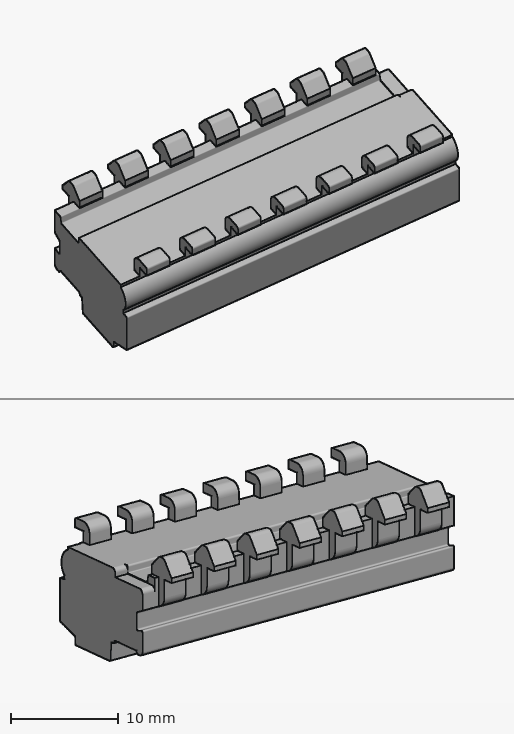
import cadquery as cq
import math

LENGTH = 36.5
REAR_END = LENGTH / 2
TOP = 9.4
LATCH_TOP = 11.5

FINGER_COUNT = 7
FINGER_PITCH = 5.0
FINGER_WIDTH = 2.52
FINGER_CENTER_Y = 0.1

LIP_WIDTH = 1.02
LIP_ROUND = 0.1
LIP_FOOT_X = 1.15
LEDGE_Z = 8.65
STEP_X = 4.15
STEP_ROUND = 0.2
LEDGE_FILLET = 0.1
NECK_X = 11.5
UNDERCUT_X = 0.88
UNDERCUT_START_Z = 6.5
UNDERCUT_TOP_Z = 6.1
UNDERCUT_BOTTOM_Z = 4.27
UNDERCUT_LIP_Z = 4.53
UNDERCUT_FILLET = 0.3
SIDE_X = 12.6
SIDE_BOTTOM_Z = 1.68
SIDE_ROUND = 0.15
FOOT_RIGHT_X = 10.25
FOOT_HEIGHT = 0.85
FOOT_LEFT_X = 4.9
FOOT_DRAFT = 0.15
RIB_Z = 1.95
CHANNEL_Z = 2.25
CHANNEL_LEFT_X = 1.0
CHANNEL_RIGHT_X = 4.25
CHANNEL_FLARE = 0.2
SMALL_ROUND = 0.15
RIB_ROUND = 0.45

BULGE_X = 10.65
BULGE_Z = 7.6
BULGE_RADIUS = 1.7
BULGE_BOTTOM_Z = 6.42
GROOVE_X = 11.95
GROOVE_Z = 6.02

RELIEF_LENGTH = 1.45
RELIEF_Z = 8.58
RELIEF_EDGE_ROUND = 0.47
RELIEF_STEP_ROUND = 0.45
RELIEF_NECK_X = 11.4

STEM_LEFT_X = -0.88
STEM_STRAIGHT_Z = 7.6
HEAD_LEFT_X = -1.97
HEAD_RIGHT_X = 1.02
HEAD_LEFT_Z = 9.9
HEAD_RIGHT_Z = 10.35
HEAD_ROUND = 0.47
HEAD_LEFT_SLOPE = 1.4

HOOK_THICKNESS = 1.0
HOOK_TIP_X = 12.75
HOOK_TIP_ROUND = 0.22


def rounded_outline(corners):
    """Closed XZ outline through (x, z, radius) corners; each radius is a tangent arc."""
    trims = []
    for i, (x, z, radius) in enumerate(corners):
        point = cq.Vector(x, z)
        back = (cq.Vector(*corners[i - 1][:2]) - point).normalized()
        ahead = (cq.Vector(*corners[(i + 1) % len(corners)][:2]) - point).normalized()
        half_angle = back.getAngle(ahead) / 2
        setback = radius / math.tan(half_angle)
        middle = point + (back + ahead).normalized() * (radius / math.sin(half_angle) - radius)
        trims.append((point + back * setback, middle, point + ahead * setback, radius))
    outline = cq.Workplane("XZ").moveTo(*trims[0][2].toTuple()[:2])
    for start, middle, end, radius in trims[1:] + trims[:1]:
        outline = outline.lineTo(*start.toTuple()[:2])
        if radius > 0:
            outline = outline.threePointArc(middle.toTuple()[:2], end.toTuple()[:2])
    return outline.close()


def extrude_along_y(outline, center_y, width):
    return outline.extrude(width / 2, both=True).translate((0, center_y, 0))


def make_housing():
    corners = [
        (0, TOP, 0),
        (LIP_WIDTH, TOP, LIP_ROUND),
        (LIP_FOOT_X, LEDGE_Z, LEDGE_FILLET),
        (STEP_X, LEDGE_Z, LEDGE_FILLET),
        (STEP_X, TOP, STEP_ROUND),
        (NECK_X, TOP, 0),
        (NECK_X, BULGE_BOTTOM_Z, 0),
        (GROOVE_X, BULGE_BOTTOM_Z, 0),
        (GROOVE_X, GROOVE_Z, 0),
        (SIDE_X, GROOVE_Z, SIDE_ROUND),
        (SIDE_X, SIDE_BOTTOM_Z, SIDE_ROUND),
        (FOOT_RIGHT_X, FOOT_HEIGHT, SMALL_ROUND),
        (FOOT_RIGHT_X, 0, SMALL_ROUND),
        (FOOT_LEFT_X, 0, SMALL_ROUND),
        (FOOT_LEFT_X - FOOT_DRAFT, RIB_Z, 0),
        (CHANNEL_RIGHT_X + CHANNEL_FLARE, RIB_Z, 0),
        (CHANNEL_RIGHT_X, CHANNEL_Z, 0),
        (CHANNEL_LEFT_X, CHANNEL_Z, 0),
        (CHANNEL_LEFT_X - CHANNEL_FLARE, RIB_Z, 0),
        (0, RIB_Z, RIB_ROUND),
        (0, UNDERCUT_LIP_Z, SMALL_ROUND),
        (UNDERCUT_X, UNDERCUT_BOTTOM_Z, SMALL_ROUND),
        (UNDERCUT_X, UNDERCUT_TOP_Z, UNDERCUT_FILLET),
        (0, UNDERCUT_START_Z, 0),
    ]
    return extrude_along_y(rounded_outline(corners), 0, LENGTH)


def make_bulge():
    outline = cq.Workplane("XZ").center(BULGE_X, BULGE_Z).circle(BULGE_RADIUS)
    return extrude_along_y(outline, 0, LENGTH)


def make_rear_relief():
    """Material to remove at the rear end, where the lip, the step and the neck are cut back."""
    center_y = REAR_END - RELIEF_LENGTH / 2
    over_step = (
        cq.Workplane("XZ")
        .moveTo(0, RELIEF_Z - RELIEF_EDGE_ROUND)
        .radiusArc((RELIEF_EDGE_ROUND, RELIEF_Z), RELIEF_EDGE_ROUND)
        .lineTo(STEP_X, RELIEF_Z)
        .lineTo(STEP_X, TOP - RELIEF_STEP_ROUND)
        .radiusArc((STEP_X + RELIEF_STEP_ROUND, TOP), RELIEF_STEP_ROUND)
        .lineTo(0, TOP)
        .close()
    )
    at_neck = (
        cq.Workplane("XZ")
        .moveTo(RELIEF_NECK_X, BULGE_Z)
        .lineTo(NECK_X, BULGE_Z)
        .lineTo(NECK_X, TOP)
        .lineTo(RELIEF_NECK_X, TOP)
        .close()
    )
    relief = extrude_along_y(over_step, center_y, RELIEF_LENGTH)
    return relief.union(extrude_along_y(at_neck, center_y, RELIEF_LENGTH))


def make_latch(center_y):
    peak_left_x = HEAD_LEFT_X + (LATCH_TOP - HEAD_LEFT_Z) / HEAD_LEFT_SLOPE
    peak_right_x = HEAD_RIGHT_X - (LATCH_TOP - HEAD_RIGHT_Z)
    head = rounded_outline([
        (HEAD_LEFT_X, TOP, 0),
        (HEAD_LEFT_X, HEAD_LEFT_Z, 0),
        (peak_left_x, LATCH_TOP, HEAD_ROUND),
        (peak_right_x, LATCH_TOP, HEAD_ROUND),
        (HEAD_RIGHT_X, HEAD_RIGHT_Z, 0),
        (HEAD_RIGHT_X, TOP, 0),
    ])
    stem = (
        cq.Workplane("XZ")
        .moveTo(0, TOP)
        .lineTo(STEM_LEFT_X, TOP)
        .lineTo(STEM_LEFT_X, STEM_STRAIGHT_Z)
        .tangentArcPoint((0, UNDERCUT_START_Z), relative=False)
        .close()
    )
    latch = extrude_along_y(head, center_y, FINGER_WIDTH)
    return latch.union(extrude_along_y(stem, center_y, FINGER_WIDTH))


def make_hook(center_y):
    left_x = NECK_X - HOOK_THICKNESS
    underside_z = LATCH_TOP - HOOK_THICKNESS
    outline = rounded_outline([
        (left_x, TOP, 0),
        (left_x, LATCH_TOP, HOOK_THICKNESS),
        (HOOK_TIP_X, LATCH_TOP, HOOK_TIP_ROUND),
        (HOOK_TIP_X, underside_z, 0),
        (NECK_X, underside_z, 0),
        (NECK_X, TOP, 0),
    ])
    return extrude_along_y(outline, center_y, FINGER_WIDTH)


result = make_housing().cut(make_rear_relief()).union(make_bulge())
for index in range(FINGER_COUNT):
    finger_y = FINGER_CENTER_Y + (index - (FINGER_COUNT - 1) / 2) * FINGER_PITCH
    result = result.union(make_latch(finger_y)).union(make_hook(finger_y))